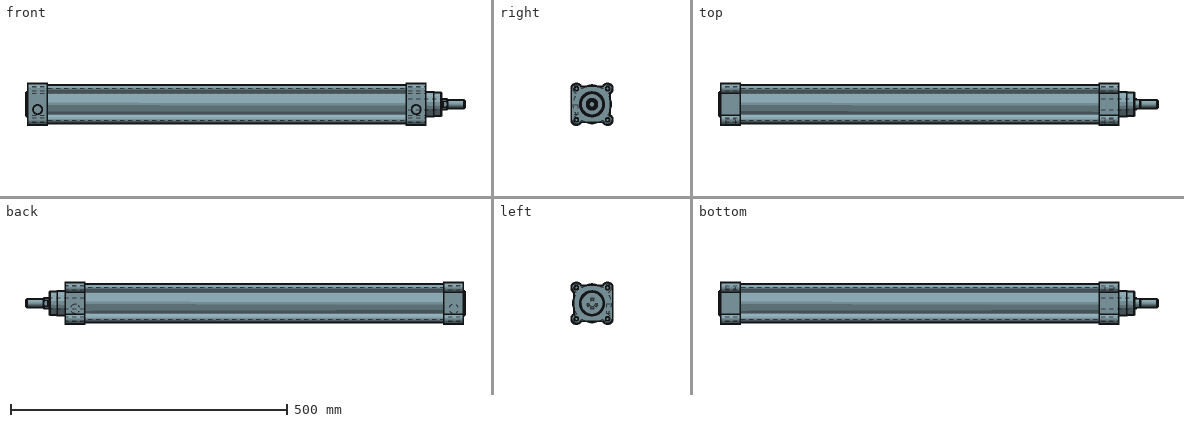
import cadquery as cq
import math


rear_cap_start = 3.0
cap_length = 36.0
tube_start = rear_cap_start + cap_length
front_cap_start = 689.0
front_cap_end = front_cap_start + cap_length
collar_end = 739.0
nose_end = 753.0
flats_start = 756.0
shoulder_start = 762.0
thread_start = 764.0
rod_end = 795.5

cap_width = 75.5
cap_half_width = cap_width / 2
corner_spacing = 56.5
corner_offset = corner_spacing / 2
cap_corner_radius = cap_half_width - corner_offset
recess_half_width = 33.0
screw_hole_radius = 3.6
port_diameter = 17.0
port_depth = 12.0
port_z = -9.5
spigot_radius = 22.0
spigot_chamfer = 1.5

nose_radius = 21.5
nose_chamfer = 1.5

barrel_radius = 34.0
tube_half_width = 35.0
lobe_radius = tube_half_width - corner_offset
rib_half_width = 6.0
valley_radius = 1.5

rod_diameter = 20.0
rod_radius = rod_diameter / 2
thread_radius = 8.0
thread_chamfer = 2.0
flats_width = 17.0

CORNERS = [(y, z) for y in (-corner_offset, corner_offset) for z in (-corner_offset, corner_offset)]


def cross_section(x):
    """YZ work plane at station x, facing +X."""
    return cq.Workplane("YZ", origin=(x, 0, 0))


def cylinder(start, end, radius):
    """Round bar on the X axis from station start to station end."""
    return cross_section(start).circle(radius).extrude(end - start)


def make_cap_block(start):
    """Cap with round corners, three recessed sides, a flat -Y port side and four screw holes."""
    block = cross_section(start).rect(2 * recess_half_width, 2 * recess_half_width).extrude(cap_length)

    port_side = (
        cross_section(start)
        .center(-(cap_half_width + corner_offset) / 2, 0)
        .rect(cap_corner_radius, 2 * corner_offset)
        .extrude(cap_length)
    )
    lobes = cross_section(start).pushPoints(CORNERS).circle(cap_corner_radius).extrude(cap_length)
    block = block.union(port_side).union(lobes)

    screw_holes = cross_section(start).pushPoints(CORNERS).circle(screw_hole_radius).extrude(cap_length)
    port = (
        cq.Workplane("XZ", origin=(start + cap_length / 2, -cap_half_width, port_z))
        .circle(port_diameter / 2)
        .extrude(-port_depth)
    )
    return block.cut(screw_holes).cut(port)


def make_rear_cap():
    """Cap with a chamfered round spigot on its outer face."""
    spigot = cylinder(0, rear_cap_start, spigot_radius).faces("<X").chamfer(spigot_chamfer)
    return make_cap_block(rear_cap_start).union(spigot)


def make_front_cap():
    """Cap with a stepped nose, bored through for the rod."""
    collar = cylinder(front_cap_end, collar_end, spigot_radius)
    nose = cylinder(collar_end, nose_end, nose_radius).faces(">X").chamfer(nose_chamfer)
    rod_bore = cylinder(front_cap_start, nose_end, rod_radius)
    return make_cap_block(front_cap_start).union(collar).union(nose).cut(rod_bore)


def make_tube():
    """Round barrel with four corner lobes and a crowned rib along the middle of each side."""
    length = front_cap_start - tube_start
    tube = cylinder(tube_start, front_cap_start, barrel_radius)

    web_length = 2 * math.hypot(corner_offset, corner_offset)
    for angle in (45, 135):
        web = cross_section(tube_start).rect(web_length, 2 * lobe_radius).extrude(length)
        tube = tube.union(web.rotate((0, 0, 0), (1, 0, 0), angle))
    lobes = cross_section(tube_start).pushPoints(CORNERS).circle(lobe_radius).extrude(length)
    tube = tube.union(lobes)

    tube_middle = (tube_start + front_cap_start) / 2
    valley_angle = math.asin(lobe_radius / barrel_radius)
    for quarter in range(4):
        for side in (-1, 1):
            angle = math.radians(45 + 90 * quarter) + side * valley_angle
            valley = (tube_middle, barrel_radius * math.cos(angle), barrel_radius * math.sin(angle))
            tube = tube.edges(cq.selectors.NearestToPointSelector(valley)).fillet(valley_radius)

    rib_edge = math.sqrt(barrel_radius**2 - rib_half_width**2)
    for angle in (0, 90, 180, 270):
        rib = (
            cross_section(tube_start)
            .lineTo(rib_edge, -rib_half_width)
            .threePointArc((tube_half_width, 0), (rib_edge, rib_half_width))
            .close()
            .extrude(length)
        )
        tube = tube.union(rib.rotate((0, 0, 0), (1, 0, 0), angle))
    return tube


def make_rod():
    """Rod through the front cap, with two wrench flats, a tapered shoulder and a threaded end."""
    profile = [
        (front_cap_start, 0),
        (front_cap_start, rod_radius),
        (shoulder_start, rod_radius),
        (thread_start, thread_radius),
        (rod_end - thread_chamfer, thread_radius),
        (rod_end, thread_radius - thread_chamfer),
        (rod_end, 0),
    ]
    rod = cq.Workplane("XY").polyline(profile).close().revolve(360, (0, 0, 0), (1, 0, 0))

    flats_length = thread_start - flats_start
    around_flats = cylinder(flats_start, thread_start, 2 * rod_radius)
    between_flats = cross_section(flats_start).rect(flats_width, 4 * rod_radius).extrude(flats_length)
    return rod.cut(around_flats.cut(between_flats))


rear_cap = make_rear_cap()
tube = make_tube()
front_cap = make_front_cap()
rod = make_rod()

result = cq.Compound.makeCompound([rear_cap.val(), tube.val(), front_cap.val(), rod.val()])